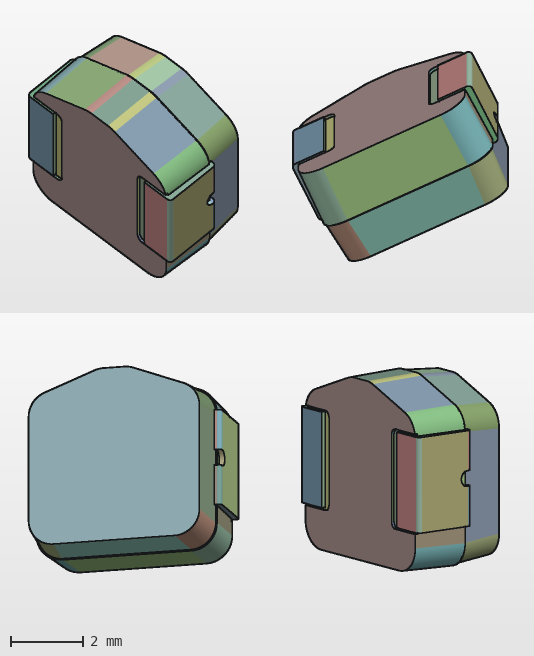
import cadquery as cq
import math

overall_width = 5.5
overall_depth = 3.0
body_size = 5.2
body_front = 0.04
parting_y = 1.72
parting_step = 0.04
front_draft = 1.5
rear_draft = 4.5
front_radius = 0.75
rear_radius = front_radius - parting_step
roof_flat = 0.915
roof_slope = 20.4

foot_thickness = 0.12
plate_thickness = 0.22
bend_radius = 0.12
terminal_height = 2.7
terminal_depth = 1.825
foot_length = 1.0
notch_width = 0.445
notch_depth = 0.345

pocket_end_clearance = 0.295
pocket_side_clearance = 0.06
pocket_radius = 0.19

half_width = overall_width / 2


def moulded_half(inset, length, draft, radius):
    """Half of the body from the parting plane; a negative length grows toward the rear."""
    side = body_size / 2 - inset
    half_angle = math.radians(roof_slope / 2)
    half_flat = roof_flat / 2 - inset * math.tan(half_angle)
    shoulder_z = side - (side - half_flat) * math.tan(math.radians(roof_slope))
    outline = [
        (-side, -side),
        (side, -side),
        (side, shoulder_z),
        (half_flat, side),
        (-half_flat, side),
        (-side, shoulder_z),
    ]
    block = (
        cq.Workplane("XZ", origin=(0, parting_y, 0))
        .polyline(outline)
        .close()
        .extrude(length, taper=draft)
    )
    return block.edges("not(#Y)").fillet(radius)


def foot_pocket():
    """Shallow pocket at the right side of the front face, open toward the side."""
    inner_x = half_width - foot_length - pocket_end_clearance
    height = terminal_height + 2 * pocket_side_clearance
    return (
        cq.Workplane("XY")
        .box(half_width - inner_x, foot_thickness, height, centered=(False, False, True))
        .edges("<X and |Y")
        .fillet(pocket_radius)
        .translate((inner_x, 0, 0))
    )


def terminal():
    """Right-hand terminal: foot under the body and side plate that enters the body."""
    inner_x = half_width - plate_thickness
    foot_x = half_width - foot_length
    profile = [
        (foot_x, 0),
        (half_width, 0),
        (half_width, terminal_depth),
        (inner_x, terminal_depth),
        (inner_x, foot_thickness),
        (foot_x, foot_thickness),
    ]
    strip = (
        cq.Workplane("XY")
        .polyline(profile)
        .close()
        .extrude(terminal_height / 2, both=True)
        .edges("|Z and >X")
        .fillet(bend_radius)
    )
    return strip.cut(notch())


def notch():
    """Round-bottomed notch in the rear edge of the side plate."""
    radius = notch_width / 2
    centre_y = terminal_depth - notch_depth + radius
    round_end = (
        cq.Workplane("YZ")
        .center(centre_y, 0)
        .circle(radius)
        .extrude(overall_width)
    )
    straight = cq.Workplane("XY").box(
        overall_width, notch_depth - radius, notch_width, centered=(False, False, True)
    )
    return round_end.union(straight.translate((0, centre_y, 0)))


body = moulded_half(0, parting_y - body_front, front_draft, front_radius)
body = body.union(moulded_half(parting_step, parting_y - overall_depth, rear_draft, rear_radius))

right_pocket = foot_pocket()
right_terminal = terminal()
body = body.cut(right_pocket).cut(right_pocket.mirror("YZ"))
result = body.union(right_terminal).union(right_terminal.mirror("YZ"))